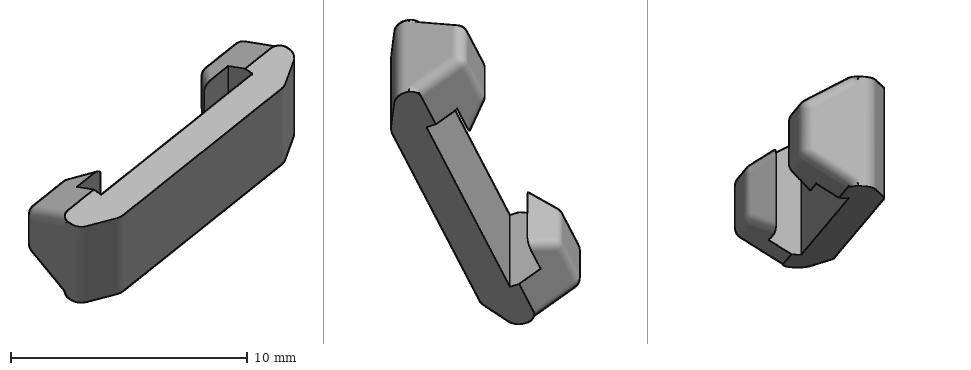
import cadquery as cq
import math

depth = 4.0
length = 13.6
height = 4.8

slot_floor_x = 2.52
back_chamfer_x = 3.1
back_chamfer_run = 1.71
back_radius = 0.7

hook_wall = 2.1
lip_thickness = 1.12
lip_reach = 3.58
hook_face_run = 2.6
taper_start_x = 2.1
taper_angle = 30.0
hook_radius = 0.5

tolerance = 0.001

half_length = length / 2
half_height = height / 2
face_half_height = half_height - taper_start_x * math.tan(math.radians(taper_angle))


def clip_body():
    """C-shaped clip outline in XY, extruded over the full height."""
    upper_half = [
        (slot_floor_x, half_length - hook_wall),
        (lip_thickness, half_length - hook_wall),
        (lip_thickness, half_length - lip_reach),
        (0, half_length - hook_face_run),
        (0, half_length),
        (back_chamfer_x, half_length),
        (depth, half_length - back_chamfer_run),
    ]
    lower_half = [(x, -y) for x, y in reversed(upper_half)]
    body = cq.Workplane("XY").polyline(upper_half + lower_half).close().extrude(half_height, both=True)
    upright_edges = body.edges("|Z")
    return upright_edges.filter(lambda edge: edge.Center().x > slot_floor_x + tolerance).fillet(back_radius)


def taper_envelope():
    """Side outline in XZ that narrows the hooks towards their faces."""
    outline = [
        (0, -face_half_height),
        (taper_start_x, -half_height),
        (depth, -half_height),
        (depth, half_height),
        (taper_start_x, half_height),
        (0, face_half_height),
    ]
    return cq.Workplane("XZ").polyline(outline).close().extrude(length, both=True)


def touches_hook_face(edge):
    """True for the edges around a hook face and for the sloped edges running back from it."""
    return edge.BoundingBox().xmin < tolerance


body = clip_body().intersect(taper_envelope())
result = body.edges().filter(touches_hook_face).fillet(hook_radius)